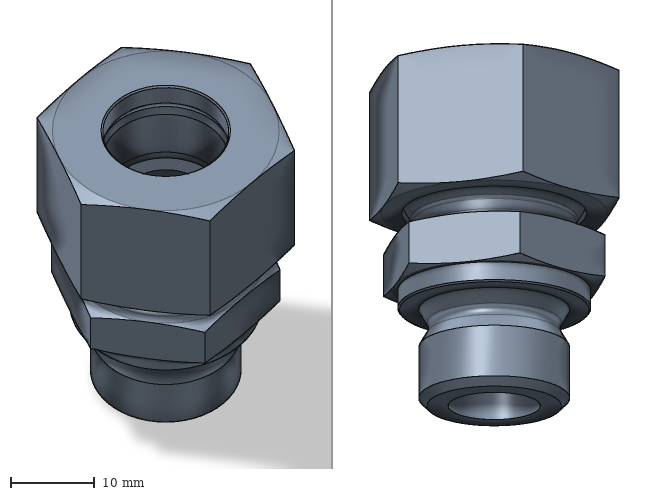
import cadquery as cq
import math


TOTAL_HEIGHT = 41.0
NUT_BOTTOM = 24.03

NUT_FLATS = 27.0
BODY_FLATS = 24.0
HEX_CHAMFER_ANGLE = 15.0
HEX_SIDES = 6
HALF_HEX_SECTOR = 180.0 / HEX_SIDES

STUD_RADIUS = 18.0 / 2
STUD_END_CHAMFER = 1.0
GROOVE_BOTTOM = 7.3
GROOVE_ARC_RADIUS = 1.4
GROOVE_FLANK_ANGLE = 30.0

COLLAR_RADIUS = 23.0 / 2
COLLAR_BOTTOM = 12.0
COLLAR_CHAMFER = 0.2
BODY_HEX_BOTTOM = 14.45
BODY_HEX_TOP = 20.6

NECK_RADIUS = 19.7 / 2
NECK_FILLET = 1.0
NECK_CONE_BOTTOM = 23.33
NECK_CONE_ANGLE = 30.0
THREAD_RADIUS = 22.0 / 2

FLOW_RADIUS = 11.0 / 2
TUBE_RADIUS = 15.0 / 2
TUBE_STOP = 29.0
NUT_MOUTH_CHAMFER = 0.2

RING_TOP = 37.3
RING_TOP_RADIUS = 8.4
RING_SHOULDER_RADIUS = 20.0 / 2
RING_MOUTH_RADIUS = 7.85
RING_MOUTH_DEPTH = 1.0
RING_INSERTION = 5.75
BODY_SEAT_ANGLE = 12.0
BODY_TOP = RING_TOP - (RING_SHOULDER_RADIUS - RING_TOP_RADIUS)
BODY_MOUTH_RADIUS = 8.9


def tangent(degrees):
    return math.tan(math.radians(degrees))


def nut_seat_height(radius):
    """Height of the 45 degree seat cone of the nut at a given radius."""
    return RING_TOP + RING_TOP_RADIUS - radius


def revolve(profile):
    """Turn a closed (radius, height) profile around the Z axis."""
    return profile.close().revolve(axisStart=(0, 0, 0), axisEnd=(0, 1, 0))


def revolve_points(points):
    return revolve(cq.Workplane("XZ").polyline(points))


def chamfered_hexagon(flats, bottom, top):
    """Hexagon with flats facing X, its corners cut at both ends by cones that start at the flats."""
    end_radius = flats / 2
    corner_radius = end_radius / math.cos(math.radians(HALF_HEX_SECTOR))
    drop = (corner_radius - end_radius) * tangent(HEX_CHAMFER_ANGLE)
    prism = (
        cq.Workplane("XY", origin=(0, 0, bottom))
        .polygon(HEX_SIDES, 2 * corner_radius)
        .extrude(top - bottom)
        .rotate((0, 0, 0), (0, 0, 1), HALF_HEX_SECTOR)
    )
    envelope = revolve_points([
        (0, bottom),
        (end_radius, bottom),
        (corner_radius, bottom + drop),
        (corner_radius, top - drop),
        (end_radius, top),
        (0, top),
    ])
    return prism.intersect(envelope)


def turned_body_outside():
    """Stud, groove, collar, neck and upper thread as one turned shape."""
    groove_middle = (GROOVE_BOTTOM + COLLAR_BOTTOM) / 2
    arc_half_height = GROOVE_ARC_RADIUS * math.sin(math.radians(GROOVE_FLANK_ANGLE))
    flank_height = groove_middle - GROOVE_BOTTOM - arc_half_height
    arc_end_radius = STUD_RADIUS - flank_height * tangent(GROOVE_FLANK_ANGLE)
    arc_depth = GROOVE_ARC_RADIUS * (1 - math.cos(math.radians(GROOVE_FLANK_ANGLE)))

    fillet_middle = NECK_FILLET * (1 - math.sqrt(0.5))
    cone_angle = math.radians(NECK_CONE_ANGLE)
    neck_arc_bottom = NECK_CONE_BOTTOM - NECK_FILLET * math.sin(cone_angle)
    neck_arc_middle = neck_arc_bottom + NECK_FILLET * math.sin(cone_angle / 2)
    neck_arc_middle_radius = NECK_RADIUS + NECK_FILLET * (1 - math.cos(cone_angle / 2))
    cone_radius = NECK_RADIUS + NECK_FILLET * (1 - math.cos(cone_angle))
    cone_top = NECK_CONE_BOTTOM + (THREAD_RADIUS - cone_radius) / tangent(NECK_CONE_ANGLE)

    profile = (
        cq.Workplane("XZ")
        .moveTo(0, 0)
        .lineTo(STUD_RADIUS - STUD_END_CHAMFER, 0)
        .lineTo(STUD_RADIUS, STUD_END_CHAMFER)
        .lineTo(STUD_RADIUS, GROOVE_BOTTOM)
        .lineTo(arc_end_radius, groove_middle - arc_half_height)
        .threePointArc(
            (arc_end_radius - arc_depth, groove_middle),
            (arc_end_radius, groove_middle + arc_half_height),
        )
        .lineTo(STUD_RADIUS, COLLAR_BOTTOM)
        .lineTo(COLLAR_RADIUS - COLLAR_CHAMFER, COLLAR_BOTTOM)
        .lineTo(COLLAR_RADIUS, COLLAR_BOTTOM + COLLAR_CHAMFER)
        .lineTo(COLLAR_RADIUS, BODY_HEX_TOP)
        .lineTo(NECK_RADIUS + NECK_FILLET, BODY_HEX_TOP)
        .threePointArc(
            (NECK_RADIUS + fillet_middle, BODY_HEX_TOP + fillet_middle),
            (NECK_RADIUS, BODY_HEX_TOP + NECK_FILLET),
        )
        .lineTo(NECK_RADIUS, neck_arc_bottom)
        .threePointArc(
            (neck_arc_middle_radius, neck_arc_middle),
            (cone_radius, NECK_CONE_BOTTOM),
        )
        .lineTo(THREAD_RADIUS, cone_top)
        .lineTo(THREAD_RADIUS, nut_seat_height(THREAD_RADIUS))
        .lineTo(RING_SHOULDER_RADIUS, BODY_TOP)
        .lineTo(0, BODY_TOP)
    )
    return revolve(profile)


def body_passage():
    """Flow bore, tube socket and conical ring seat."""
    seat_bottom = BODY_TOP - (BODY_MOUTH_RADIUS - TUBE_RADIUS) / tangent(BODY_SEAT_ANGLE)
    return revolve_points([
        (0, 0),
        (FLOW_RADIUS, 0),
        (FLOW_RADIUS, TUBE_STOP),
        (TUBE_RADIUS, TUBE_STOP),
        (TUBE_RADIUS, seat_bottom),
        (BODY_MOUTH_RADIUS, BODY_TOP),
        (0, BODY_TOP),
    ])


def make_body():
    hexagon = chamfered_hexagon(BODY_FLATS, BODY_HEX_BOTTOM, BODY_HEX_TOP)
    return turned_body_outside().union(hexagon).cut(body_passage()).solids()


def make_cutting_ring():
    """Ring wedged between the body seat and the nut seat."""
    tip = BODY_TOP - RING_INSERTION
    tip_radius = BODY_MOUTH_RADIUS - RING_INSERTION * tangent(BODY_SEAT_ANGLE)
    return revolve_points([
        (TUBE_RADIUS, tip),
        (tip_radius, tip),
        (BODY_MOUTH_RADIUS, BODY_TOP),
        (RING_SHOULDER_RADIUS, BODY_TOP),
        (RING_TOP_RADIUS, RING_TOP),
        (RING_MOUTH_RADIUS, RING_TOP),
        (TUBE_RADIUS, RING_TOP - RING_MOUTH_DEPTH),
    ])


def nut_passage():
    """Thread bore, 45 degree seat and chamfered tube hole."""
    return revolve_points([
        (0, NUT_BOTTOM),
        (THREAD_RADIUS, NUT_BOTTOM),
        (THREAD_RADIUS, nut_seat_height(THREAD_RADIUS)),
        (TUBE_RADIUS, nut_seat_height(TUBE_RADIUS)),
        (TUBE_RADIUS, TOTAL_HEIGHT - NUT_MOUTH_CHAMFER),
        (TUBE_RADIUS + NUT_MOUTH_CHAMFER, TOTAL_HEIGHT),
        (0, TOTAL_HEIGHT),
    ])


def make_nut():
    hexagon = chamfered_hexagon(NUT_FLATS, NUT_BOTTOM, TOTAL_HEIGHT)
    return hexagon.cut(nut_passage()).solids()


body = make_body()
cutting_ring = make_cutting_ring()
nut = make_nut()

result = cq.Compound.makeCompound([body.val(), cutting_ring.val(), nut.val()])